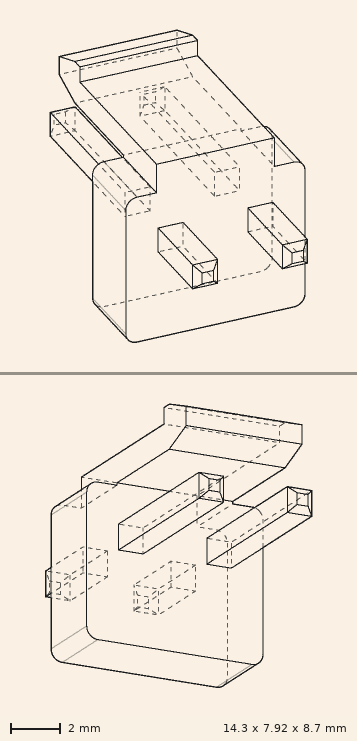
import cadquery as cq

pin_length = 14.3
pin_width = 1.1
pin_tip_width = 0.5
pin_taper_length = 0.27
pin_pitch = 3.96
pin_height = 4.49

housing_start = 7.5
housing_depth = 3.2
housing_width = 2 * pin_pitch
housing_height = 6.68
housing_radius = 0.5
housing_end = housing_start + housing_depth

latch_width = 5.2
latch_bottom = 6.78
latch_top = 8.0
hook_top = 8.7
nose_start = 1.29
nose_bottom = 7.32
nose_top = 8.15
nose_slope_end = 2.8
hook_back = 3.29


def make_housing():
    block = cq.Workplane("XY").box(
        housing_depth, housing_width, housing_height, centered=(False, True, False)
    )
    return block.edges("|X").fillet(housing_radius).translate((housing_start, 0, 0))


def make_latch():
    outline = [
        (nose_start, nose_bottom),
        (nose_start, nose_top),
        (nose_slope_end, hook_top),
        (hook_back, hook_top),
        (hook_back, latch_top),
        (housing_end, latch_top),
        (housing_end, housing_height),
        (housing_start, housing_height),
        (housing_start, latch_bottom),
        (nose_slope_end, latch_bottom),
    ]
    return cq.Workplane("XZ").polyline(outline).close().extrude(latch_width / 2, both=True)


def make_pin(y):
    def section(x):
        return cq.Workplane("YZ", origin=(x, y, pin_height))

    def taper(base_x, tip_x):
        return (
            section(base_x)
            .rect(pin_width, pin_width)
            .workplane(offset=tip_x - base_x)
            .rect(pin_tip_width, pin_tip_width)
            .loft(ruled=True)
        )

    shank_end = pin_length - pin_taper_length
    shank = section(pin_taper_length).rect(pin_width, pin_width).extrude(shank_end - pin_taper_length)
    return shank.union(taper(pin_taper_length, 0)).union(taper(shank_end, pin_length))


result = make_housing().union(make_latch())
for side in (-1, 1):
    result = result.union(make_pin(side * pin_pitch / 2))